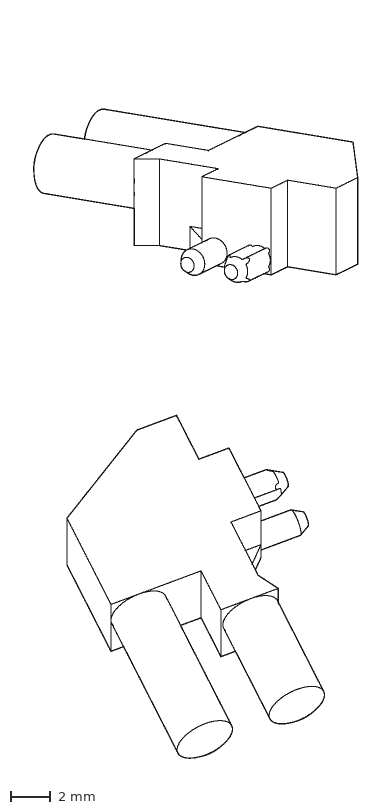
import cadquery as cq
import math

LENGTH = 17.78
DEPTH = 11.95
HEIGHT = 4.57

BARREL_RADIUS = 1.53
BARREL_PITCH = 5.07
DOME_LENGTH = 0.5
BARREL_Z = HEIGHT - BARREL_RADIUS
REAR_BARREL_Y = -BARREL_RADIUS
FRONT_BARREL_Y = REAR_BARREL_Y - BARREL_PITCH

REAR_FACE_X = 8.85
FRONT_FACE_X = 6.35
NOTCH_Y = -4.96
LIP_END_X = 7.47
LIP_Y = FRONT_BARREL_Y - BARREL_RADIUS
SHOULDER_Y = -7.5
STEP_LEFT_X = 10.9
STEP_RIGHT_X = 14.95
STEP_Y = -9.15
SLOPE_START_X = 14.42
SLOPE_END_Y = -5.32

WEDGE_SIDE = SHOULDER_Y - STEP_Y
WEDGE_HEIGHT = 1.28

PIN_RADIUS = 0.7
PIN_X = 11.68
PIN_PITCH = 2.55
PIN_Z = 0.76
PIN_LENGTH = STEP_Y + DEPTH
TIP_RADIUS = 0.4
TIP_LENGTH = 0.55
RIBBED_PIN_X = PIN_X + PIN_PITCH
RIBBED_CORE_RADIUS = 0.68
RIB_RADIUS = 0.15
RIB_COUNT = 4
RIB_CENTER_RADIUS = 0.7
RIB_FILLET = 0.05


def make_body():
    outline = [
        (REAR_FACE_X, 0),
        (SLOPE_START_X, 0),
        (LENGTH, SLOPE_END_Y),
        (LENGTH, SHOULDER_Y),
        (STEP_RIGHT_X, SHOULDER_Y),
        (STEP_RIGHT_X, STEP_Y),
        (STEP_LEFT_X, STEP_Y),
        (STEP_LEFT_X, SHOULDER_Y),
        (LIP_END_X, SHOULDER_Y),
        (FRONT_FACE_X, LIP_Y),
        (FRONT_FACE_X, NOTCH_Y),
        (REAR_FACE_X, NOTCH_Y),
    ]
    return cq.Workplane("XY").polyline(outline).close().extrude(HEIGHT)


def make_wedge():
    corners = [
        (STEP_LEFT_X - WEDGE_SIDE, SHOULDER_Y),
        (STEP_LEFT_X, STEP_Y),
        (STEP_LEFT_X, SHOULDER_Y),
    ]
    return cq.Workplane("XY").polyline(corners).close().extrude(WEDGE_HEIGHT)


def make_barrel(y, end_x):
    """Cylinder along X whose nose is a shallow spherical cap."""
    dome_radius = (BARREL_RADIUS**2 + DOME_LENGTH**2) / (2 * DOME_LENGTH)
    half_angle = math.asin(BARREL_RADIUS / dome_radius) / 2
    arc_middle = (
        dome_radius * (1 - math.cos(half_angle)),
        dome_radius * math.sin(half_angle),
    )
    return (
        cq.Workplane("XY")
        .lineTo(end_x, 0)
        .lineTo(end_x, BARREL_RADIUS)
        .lineTo(DOME_LENGTH, BARREL_RADIUS)
        .threePointArc(arc_middle, (0, 0))
        .close()
        .revolve(360, (0, 0), (1, 0))
        .translate((0, y, BARREL_Z))
    )


def pin_envelope(radius):
    """Straight pin with a conical tip, all radii sharing the same cone."""
    cone_slope = TIP_LENGTH / (PIN_RADIUS - TIP_RADIUS)
    cone_length = (radius - TIP_RADIUS) * cone_slope
    profile = [
        (0, 0),
        (radius, 0),
        (radius, -PIN_LENGTH + cone_length),
        (TIP_RADIUS, -PIN_LENGTH),
        (0, -PIN_LENGTH),
    ]
    return cq.Workplane("XY").polyline(profile).close().revolve(360, (0, 0), (0, 1))


def make_ribbed_pin():
    """Slimmer pin with four rounded ribs blended in on its diagonals, trimmed by the tip cone."""
    ribs = (
        cq.Workplane("XZ")
        .polarArray(RIB_CENTER_RADIUS, 180 / RIB_COUNT, 360, RIB_COUNT)
        .circle(RIB_RADIUS)
        .extrude(PIN_LENGTH)
    )
    core = cq.Workplane("XZ").circle(RIBBED_CORE_RADIUS).extrude(PIN_LENGTH)
    shaft = core.union(ribs)
    shaft = shaft.edges("|Y").fillet(RIB_FILLET)
    rib_reach = RIB_CENTER_RADIUS + RIB_RADIUS
    return shaft.intersect(pin_envelope(rib_reach))


result = (
    make_body()
    .union(make_wedge())
    .union(make_barrel(REAR_BARREL_Y, REAR_FACE_X))
    .union(make_barrel(FRONT_BARREL_Y, FRONT_FACE_X))
    .union(pin_envelope(PIN_RADIUS).translate((PIN_X, STEP_Y, PIN_Z)))
    .union(make_ribbed_pin().translate((RIBBED_PIN_X, STEP_Y, PIN_Z)))
)